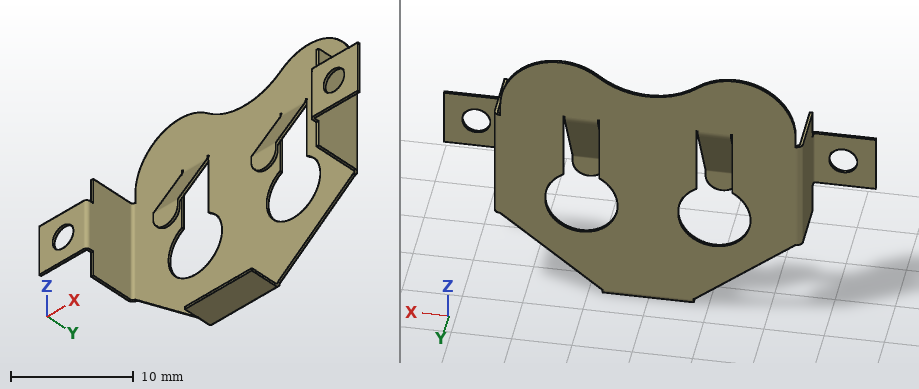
import cadquery as cq
import math


sheet = 0.25
bend_inner = 0.3
bend_outer = bend_inner + sheet
foot_bend_inner = 0.1
foot_bend_outer = foot_bend_inner + sheet

half_length = 17.9
total_depth = 5.7
top_z = 11.0
bottom_z = -12.2

wall_outer_x = 12.78
wall_inner_x = wall_outer_x - sheet
wall_height = 9.95
wall_depth = 4.95
foot_height = 4.98
foot_hole_x = 15.2
foot_hole_diameter = 2.33

plate_half_width = wall_outer_x - bend_outer
plate_bottom_z = bottom_z + bend_outer
lobe_radius = 5.0
lobe_x = plate_half_width - lobe_radius
lobe_z = top_z - lobe_radius
saddle_z = 8.5

lip_width = 7.52
lip_depth = 3.33

tongue_x = 5.5
tongue_width = 2.75
tongue_depth = 3.8
tongue_root_z = 5.5
tongue_pad_z = -1.1
tongue_tip_z = -2.9
root_bend_inner = 0.93
root_bend_outer = root_bend_inner + sheet
pad_bend_inner = 0.35
pad_bend_outer = pad_bend_inner + sheet
slot_width = 2.97
round_opening_radius = 3.0
round_opening_z = -2.97


def mirrored(shape):
    """Add the copy of a shape on the other side of the X = 0 plane."""
    return shape.union(shape.mirror("YZ"))


def round_edge(shape, point, radius):
    """Round the edge whose middle is nearest to a point."""
    return shape.edges(cq.selectors.NearestToPointSelector(point)).fillet(radius)


def make_plate():
    rise = saddle_z - lobe_z
    saddle_radius = (lobe_x**2 + rise**2 - lobe_radius**2) / (2 * (lobe_radius - rise))
    fraction = lobe_radius / (lobe_radius + saddle_radius)
    join_x = lobe_x * (1 - fraction)
    join_z = lobe_z + fraction * (rise + saddle_radius)
    plate = (
        cq.Workplane("XZ")
        .moveTo(-lip_width / 2, plate_bottom_z)
        .lineTo(-plate_half_width, -wall_height / 2)
        .lineTo(-plate_half_width, lobe_z)
        .threePointArc((-lobe_x, top_z), (-join_x, join_z))
        .threePointArc((0, saddle_z), (join_x, join_z))
        .threePointArc((lobe_x, top_z), (plate_half_width, lobe_z))
        .lineTo(plate_half_width, -wall_height / 2)
        .lineTo(lip_width / 2, plate_bottom_z)
        .close()
        .extrude(sheet)
    )
    slot_height = tongue_root_z - round_opening_z
    centers = [(-tongue_x, round_opening_z), (tongue_x, round_opening_z)]
    openings = cq.Workplane("XZ").pushPoints(centers).circle(round_opening_radius).extrude(sheet)
    slots = (
        cq.Workplane("XZ")
        .pushPoints([(x, z + slot_height / 2) for x, z in centers])
        .rect(slot_width, slot_height)
        .extrude(sheet)
    )
    return plate.cut(openings).cut(slots)


def make_side_bracket():
    """Right-hand wall with its outward mounting foot."""
    foot_back = total_depth - sheet
    overlap_x = plate_half_width - sheet
    bracket = (
        cq.Workplane("XY")
        .polyline([
            (overlap_x, 0),
            (wall_outer_x, 0),
            (wall_outer_x, -foot_back),
            (half_length, -foot_back),
            (half_length, -total_depth),
            (wall_inner_x, -total_depth),
            (wall_inner_x, -sheet),
            (overlap_x, -sheet),
        ])
        .close()
        .extrude(wall_height / 2, both=True)
    )
    bracket = round_edge(bracket, (wall_outer_x, 0, 0), bend_outer)
    bracket = round_edge(bracket, (wall_inner_x, -sheet, 0), bend_inner)
    bracket = round_edge(bracket, (wall_outer_x, -foot_back, 0), foot_bend_inner)
    bracket = round_edge(bracket, (wall_inner_x, -total_depth, 0), foot_bend_outer)

    full_height_zone = cq.Workplane("XY").box(
        2 * half_length, wall_depth, wall_height, centered=(True, False, True)
    ).translate((0, -wall_depth, 0))
    foot_zone = cq.Workplane("XY").box(
        2 * half_length, total_depth, foot_height, centered=(True, False, True)
    ).translate((0, -total_depth, 0))
    hole = (
        cq.Workplane("XZ")
        .center(foot_hole_x, 0)
        .circle(foot_hole_diameter / 2)
        .extrude(total_depth)
    )
    return bracket.intersect(full_height_zone.union(foot_zone)).cut(hole)


def make_lip():
    bend_middle = math.sqrt(0.5)
    bend_y = -bend_outer
    return (
        cq.Workplane("YZ")
        .moveTo(0, plate_bottom_z)
        .threePointArc(
            (bend_y + bend_outer * bend_middle, plate_bottom_z - bend_outer * bend_middle),
            (bend_y, bottom_z),
        )
        .lineTo(-lip_depth, bottom_z)
        .lineTo(-lip_depth, bottom_z + sheet)
        .lineTo(bend_y, bottom_z + sheet)
        .threePointArc(
            (bend_y + bend_inner * bend_middle, plate_bottom_z - bend_inner * bend_middle),
            (-sheet, plate_bottom_z),
        )
        .close()
        .extrude(lip_width / 2, both=True)
    )


def make_tongue():
    """Right-hand spring: a sloping leaf ending in a rounded upright pad."""
    forward = tongue_depth - sheet
    drop = tongue_root_z - tongue_pad_z
    radii = root_bend_inner + pad_bend_outer
    leaf_length = math.sqrt((forward - radii) ** 2 + drop**2 - radii**2)
    slope = math.atan2(forward - radii, drop) + math.atan2(radii, leaf_length)
    root_center_y = -root_bend_outer
    pad_center_y = -tongue_depth + pad_bend_outer

    def root_point(radius, angle):
        return root_center_y + radius * math.cos(angle), tongue_root_z - radius * math.sin(angle)

    def pad_point(radius, angle):
        return pad_center_y - radius * math.cos(angle), tongue_pad_z + radius * math.sin(angle)

    leaf = (
        cq.Workplane("YZ")
        .moveTo(*root_point(root_bend_outer, 0))
        .threePointArc(root_point(root_bend_outer, slope / 2), root_point(root_bend_outer, slope))
        .lineTo(*pad_point(pad_bend_inner, slope))
        .threePointArc(pad_point(pad_bend_inner, slope / 2), pad_point(pad_bend_inner, 0))
        .lineTo(-tongue_depth + sheet, tongue_tip_z)
        .lineTo(-tongue_depth, tongue_tip_z)
        .lineTo(*pad_point(pad_bend_outer, 0))
        .threePointArc(pad_point(pad_bend_outer, slope / 2), pad_point(pad_bend_outer, slope))
        .lineTo(*root_point(root_bend_inner, slope))
        .threePointArc(root_point(root_bend_inner, slope / 2), root_point(root_bend_inner, 0))
        .close()
        .extrude(tongue_width / 2, both=True)
    )
    tip_radius = tongue_width / 2
    tip_center_z = tongue_tip_z + tip_radius
    outline = (
        cq.Workplane("XZ")
        .moveTo(-tip_radius, tongue_root_z)
        .lineTo(-tip_radius, tip_center_z)
        .threePointArc((0, tongue_tip_z), (tip_radius, tip_center_z))
        .lineTo(tip_radius, tongue_root_z)
        .close()
        .extrude(tongue_depth)
    )
    return leaf.intersect(outline).translate((tongue_x, 0, 0))


result = (
    make_plate()
    .union(mirrored(make_side_bracket()))
    .union(make_lip())
    .union(mirrored(make_tongue()))
)